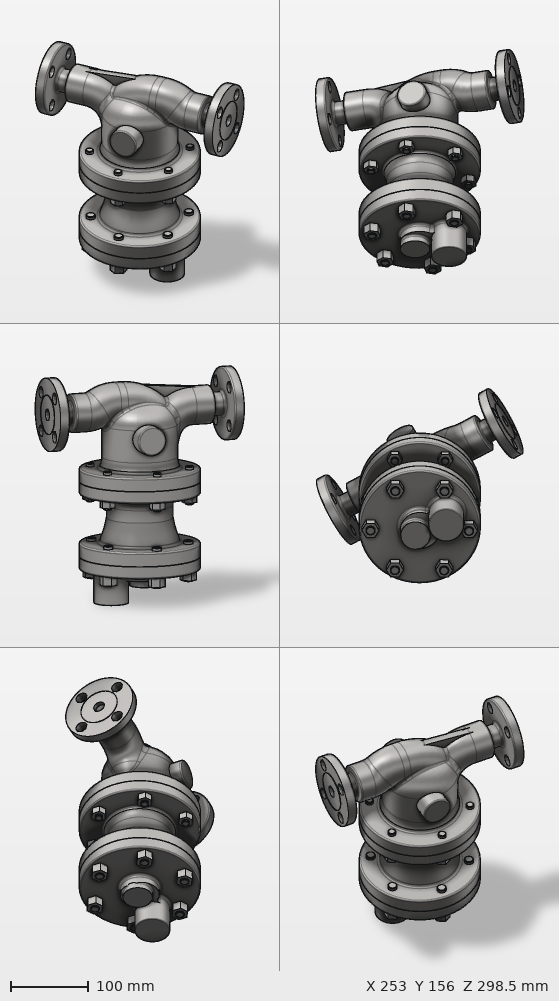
import cadquery as cq
import math

HALF_LENGTH = 126.5
PIPE_Z = 251.0
PIPE_RADIUS = 50.0 / 2
PIPE_START = 95.2
PIPE_ROUND = 1.8

FLANGE_RADIUS = 95.0 / 2
FLANGE_THICKNESS = 13.5
FLANGE_ROUND = 1.8
FACE_RADIUS = 51.0 / 2
FACE_HEIGHT = 0.5
NECK_RADIUS = 30.0 / 2
NECK_FLANGE_FILLET = 3.5
NECK_PIPE_FILLET = 1.8
BOLT_HOLE_DIAMETER = 15.0
BOLT_HOLE_OFFSET = 25.0
BORE_DIAMETER = 15.0
BORE_DEPTH = 6.0

ELBOW_START_X = -69.3
ELBOW_BEND = 41.2
ELBOW_ANGLE = math.radians(75)
ELBOW_TAIL = 25.5
ELBOW_BLEND = 10.5

OUTLET_BEND_X = 75.0
CREST_END_X = 34.0
CREST_START_X = 24.5
CREST_RISE = 11.5
LOWER_BEND = 35.2
CREST_BEND = 58.8
CREST_ANGLE = math.radians(50)
GOOSENECK_BLEND = 4.8

HEAD_RADIUS = 98.0 / 2
HEAD_BOTTOM = 189.0
DOME_BASE = 231.0
DOME_RISE = 35.0

BODY_FLANGE_RADIUS = 156.0 / 2
BODY_ROUND = 2.0
UPPER_FLANGE_TOP = 174.0
UPPER_JOINT = 156.7
UPPER_FLANGE_BOTTOM = 140.5
LOWER_FLANGE_TOP = 76.7
LOWER_JOINT = 58.5
LOWER_FLANGE_BOTTOM = 42.0
JOINT_GAP = 0.5
JOINT_FACE_RADIUS = 112.2 / 2
SKIRT_RADIUS = 51.3
COLLAR_RADIUS = 92.2 / 2
WAIST_RADIUS = 86.0 / 2
WAIST_TOP = 125.5
WAIST_BOTTOM = 109.3
ROOT_FILLET = 3.5
FLARE_HOLLOW = 1.0

STUD_COUNT = 6
NUT_SIDES = 6
FIRST_STUD_ANGLE = 30
STUD_CHAMFER = 1.0
STUD_RISE = 4.2
UPPER_STUD_RADIUS = 10.0 / 2
UPPER_STUD_CIRCLE = 64.8
UPPER_STUD_BOTTOM = 128.0
UPPER_NUT_FLATS = 17.0
UPPER_NUT_HEIGHT = 9.5
LOWER_STUD_RADIUS = 12.0 / 2
LOWER_STUD_CIRCLE = 63.3
LOWER_STUD_BOTTOM = 27.8
LOWER_NUT_FLATS = 19.0
LOWER_NUT_HEIGHT = 12.5

BOSS_RADIUS = 38.0 / 2
BOSS_X = 6.3
BOSS_Z = 219.5
BOSS_REACH = 64.0
BOSS_ROUND = 1.8

RIB_WIDTH = 9.5
RIB_SLOPE = math.radians(5.4)
RIB_START_X = -77.5
RIB_END_X = 0.0

PAD_RADIUS = 50.0 / 2
PAD_BOTTOM = 29.5
PAD_FILLET = 4.2
CREASE_FILLET = 4.8
DRAIN_RADIUS = 45.0 / 2
DRAIN_X = 39.0
DRAIN_ROUND = 1.0
PLUG_RADIUS = 38.0 / 2
PLUG_X = -6.3
PLUG_BOTTOM = 20.0
PLUG_FILLET = 2.5

EDGE_MARGIN = 0.3

ARC_INSET = 1 - math.sqrt(0.5)


def disc(radius, z_low, z_high, x=0.0, y=0.0):
    return cq.Workplane("XY", origin=(x, y, z_low)).circle(radius).extrude(z_high - z_low)


def on_circle(center, radius, angle):
    """Point on a circle; the angle runs clockwise from straight up."""
    return (center[0] + radius * math.sin(angle), center[1] + radius * math.cos(angle))


def hollow(start, end):
    """Middle point of a flare that bows in towards the axis."""
    return ((start[0] + end[0]) / 2 - FLARE_HOLLOW, (start[1] + end[1]) / 2)


def inlet_elbow():
    center = (ELBOW_START_X, PIPE_Z - ELBOW_BEND)
    bend_end = on_circle(center, ELBOW_BEND, ELBOW_ANGLE)
    tail_end = (
        bend_end[0] + ELBOW_TAIL * math.cos(ELBOW_ANGLE),
        bend_end[1] - ELBOW_TAIL * math.sin(ELBOW_ANGLE),
    )
    path = (
        cq.Workplane("XZ")
        .moveTo(-PIPE_START, PIPE_Z)
        .lineTo(ELBOW_START_X, PIPE_Z)
        .threePointArc(on_circle(center, ELBOW_BEND, ELBOW_ANGLE / 2), bend_end)
        .lineTo(*tail_end)
    )
    start = cq.Workplane("YZ", origin=(-PIPE_START, 0, PIPE_Z))
    return start.circle(PIPE_RADIUS).sweep(path)


def outlet_gooseneck():
    crest_z = PIPE_Z + CREST_RISE
    run = OUTLET_BEND_X - CREST_END_X
    swing = 2 * math.atan(CREST_RISE / run)
    upper_bend = run / math.sin(swing) - LOWER_BEND
    lower_center = (OUTLET_BEND_X, PIPE_Z + LOWER_BEND)
    upper_center = (CREST_END_X, crest_z - upper_bend)
    crest_center = (CREST_START_X, crest_z - CREST_BEND)
    path = (
        cq.Workplane("XZ")
        .moveTo(PIPE_START, PIPE_Z)
        .lineTo(OUTLET_BEND_X, PIPE_Z)
        .threePointArc(
            on_circle(lower_center, LOWER_BEND, math.pi + swing / 2),
            on_circle(lower_center, LOWER_BEND, math.pi + swing),
        )
        .threePointArc(on_circle(upper_center, upper_bend, swing / 2), (CREST_END_X, crest_z))
        .lineTo(CREST_START_X, crest_z)
        .threePointArc(
            on_circle(crest_center, CREST_BEND, -CREST_ANGLE / 2),
            on_circle(crest_center, CREST_BEND, -CREST_ANGLE),
        )
    )
    start = cq.Workplane("YZ", origin=(PIPE_START, 0, PIPE_Z))
    return start.circle(PIPE_RADIUS).sweep(path)


def junction_edges(head, x_low, x_high):
    """Curved edges where the pipes run into the head."""
    corner = (x_low, -HEAD_RADIUS, HEAD_BOTTOM)
    opposite = (x_high, HEAD_RADIUS, PIPE_Z + PIPE_RADIUS)
    return head.edges(cq.selectors.BoxSelector(corner, opposite)).edges("%BSPLINE or %ELLIPSE")


def domed_head():
    profile = (
        cq.Workplane("XZ")
        .moveTo(0, UPPER_FLANGE_TOP)
        .lineTo(WAIST_RADIUS, UPPER_FLANGE_TOP)
        .lineTo(HEAD_RADIUS, HEAD_BOTTOM)
        .lineTo(HEAD_RADIUS, DOME_BASE)
        .ellipseArc(HEAD_RADIUS, DOME_RISE, 0, 90, 0, sense=1, startAtCurrent=True)
        .close()
    )
    head = profile.revolve(360, (0, 0, 0), (0, 1, 0)).union(inlet_elbow())
    head = junction_edges(head, ELBOW_START_X, 0).fillet(ELBOW_BLEND)
    head = head.union(outlet_gooseneck())
    crotch_x = CREST_START_X - CREST_BEND
    head = junction_edges(head, crotch_x, HEAD_RADIUS).fillet(GOOSENECK_BLEND)
    return head.faces("<X or >X").edges().fillet(PIPE_ROUND)


def rib():
    def top(x):
        return PIPE_Z + PIPE_RADIUS + (x - ELBOW_START_X) * math.tan(RIB_SLOPE)

    return (
        cq.Workplane("XZ")
        .moveTo(RIB_START_X, top(RIB_START_X))
        .lineTo(RIB_END_X, top(RIB_END_X))
        .lineTo(RIB_END_X, PIPE_Z)
        .lineTo(RIB_START_X, PIPE_Z)
        .close()
        .extrude(RIB_WIDTH / 2, both=True)
    )


def side_bosses():
    bosses = (
        cq.Workplane("XZ", origin=(BOSS_X, 0, BOSS_Z))
        .circle(BOSS_RADIUS)
        .extrude(BOSS_REACH, both=True)
    )
    return bosses.faces("<Y or >Y").edges().fillet(BOSS_ROUND)


def body_flange(z_low, z_high, joint_z):
    flange = disc(BODY_FLANGE_RADIUS, z_low, z_high).edges().fillet(BODY_ROUND)
    gap_low = joint_z - JOINT_GAP / 2
    gap_high = joint_z + JOINT_GAP / 2
    gap = disc(BODY_FLANGE_RADIUS, gap_low, gap_high).cut(disc(JOINT_FACE_RADIUS, gap_low, gap_high))
    return flange.cut(gap)


def root_fillet(radius, face_z, direction, fillet=ROOT_FILLET):
    """Ring that rounds a neck into a flat face; direction is +1 above it and -1 below."""
    neck_z = face_z + direction * fillet
    inset = fillet * ARC_INSET
    profile = (
        cq.Workplane("XZ")
        .moveTo(0, face_z)
        .lineTo(radius + fillet, face_z)
        .threePointArc((radius + inset, face_z + direction * inset), (radius, neck_z))
        .lineTo(0, neck_z)
        .close()
    )
    return profile.revolve(360, (0, 0, 0), (0, 1, 0))


def flare(wide, narrow):
    """Hollow-sided flare between two (radius, z) rings."""
    profile = (
        cq.Workplane("XZ")
        .moveTo(0, wide[1])
        .lineTo(*wide)
        .threePointArc(hollow(wide, narrow), narrow)
        .lineTo(0, narrow[1])
        .close()
    )
    return profile.revolve(360, (0, 0, 0), (0, 1, 0))


def turned_body():
    body = body_flange(UPPER_FLANGE_BOTTOM, UPPER_FLANGE_TOP, UPPER_JOINT)
    body = body.union(body_flange(LOWER_FLANGE_BOTTOM, LOWER_FLANGE_TOP, LOWER_JOINT))
    body = body.union(disc(WAIST_RADIUS, WAIST_BOTTOM, WAIST_TOP))
    necks = (
        (SKIRT_RADIUS, UPPER_FLANGE_TOP, 1, (HEAD_RADIUS, HEAD_BOTTOM)),
        (COLLAR_RADIUS, UPPER_FLANGE_BOTTOM, -1, (WAIST_RADIUS, WAIST_TOP)),
        (SKIRT_RADIUS, LOWER_FLANGE_TOP, 1, (WAIST_RADIUS, WAIST_BOTTOM)),
    )
    for radius, flange_z, direction, narrow in necks:
        wide = (radius, flange_z + direction * ROOT_FILLET)
        body = body.union(root_fillet(radius, flange_z, direction)).union(flare(wide, narrow))
    return body


def add_studs(part, radius, circle, z_low, z_high, nut_top, nut_flats, nut_height):
    nut_corners = nut_flats / math.cos(math.pi / NUT_SIDES)
    for index in range(STUD_COUNT):
        angle = math.radians(FIRST_STUD_ANGLE + index * 360 / STUD_COUNT)
        x = circle * math.cos(angle)
        y = circle * math.sin(angle)
        stud = disc(radius, z_low, z_high, x, y).edges().chamfer(STUD_CHAMFER)
        nut = (
            cq.Workplane("XY", origin=(x, y, nut_top))
            .transformed(rotate=(0, 0, 90))
            .polygon(NUT_SIDES, nut_corners)
            .extrude(-nut_height)
        )
        part = part.union(stud).union(nut)
    return part


def bottom_connections(part):
    drain = disc(DRAIN_RADIUS, 0, LOWER_FLANGE_BOTTOM, DRAIN_X).faces("<Z").edges().fillet(DRAIN_ROUND)
    pad = disc(PAD_RADIUS, PAD_BOTTOM, LOWER_FLANGE_BOTTOM)
    part = part.union(pad).union(drain)
    reach = DRAIN_X + DRAIN_RADIUS + EDGE_MARGIN
    creases = cq.selectors.BoxSelector(
        (0, -PAD_RADIUS, PAD_BOTTOM), (PAD_RADIUS, PAD_RADIUS, LOWER_FLANGE_BOTTOM)
    )
    roots = cq.selectors.BoxSelector(
        (-reach, -reach, LOWER_FLANGE_BOTTOM - EDGE_MARGIN),
        (reach, reach, LOWER_FLANGE_BOTTOM + EDGE_MARGIN),
        boundingbox=True,
    )
    part = part.edges(creases).edges("|Z").fillet(CREASE_FILLET)
    part = part.edges(roots).fillet(PAD_FILLET)
    return part.union(plug())


def plug():
    barrel = disc(PLUG_RADIUS, PLUG_BOTTOM, PAD_BOTTOM, PLUG_X)
    root = root_fillet(PLUG_RADIUS, PAD_BOTTOM, -1, PLUG_FILLET).translate((PLUG_X, 0, 0))
    return barrel.union(root.intersect(disc(PAD_RADIUS, PLUG_BOTTOM, PAD_BOTTOM)))


def outlet_flange():
    """Flange and neck at the outlet end, turned about the pipe axis and drilled."""
    back_x = HALF_LENGTH - FLANGE_THICKNESS
    rim_x = HALF_LENGTH - FACE_HEIGHT
    neck_low = PIPE_START + NECK_PIPE_FILLET
    neck_high = back_x - NECK_FLANGE_FILLET
    pipe_inset = NECK_PIPE_FILLET * ARC_INSET
    flange_inset = NECK_FLANGE_FILLET * ARC_INSET
    rim_inset = FLANGE_ROUND * ARC_INSET
    profile = (
        cq.Workplane("XZ", origin=(0, 0, PIPE_Z))
        .moveTo(PIPE_START, 0)
        .lineTo(PIPE_START, NECK_RADIUS + NECK_PIPE_FILLET)
        .threePointArc((PIPE_START + pipe_inset, NECK_RADIUS + pipe_inset), (neck_low, NECK_RADIUS))
        .lineTo(neck_high, NECK_RADIUS)
        .threePointArc(
            (back_x - flange_inset, NECK_RADIUS + flange_inset),
            (back_x, NECK_RADIUS + NECK_FLANGE_FILLET),
        )
        .lineTo(back_x, FLANGE_RADIUS - FLANGE_ROUND)
        .threePointArc(
            (back_x + rim_inset, FLANGE_RADIUS - rim_inset),
            (back_x + FLANGE_ROUND, FLANGE_RADIUS),
        )
        .lineTo(rim_x, FLANGE_RADIUS)
        .lineTo(rim_x, FACE_RADIUS)
        .lineTo(HALF_LENGTH, FACE_RADIUS)
        .lineTo(HALF_LENGTH, 0)
        .close()
    )
    flange = profile.revolve(360, (0, 0, 0), (1, 0, 0))
    drilling = cq.Workplane("YZ", origin=(HALF_LENGTH, 0, PIPE_Z))
    bolt_holes = (
        drilling.rect(2 * BOLT_HOLE_OFFSET, 2 * BOLT_HOLE_OFFSET, forConstruction=True)
        .vertices()
        .circle(BOLT_HOLE_DIAMETER / 2)
        .extrude(-FLANGE_THICKNESS)
    )
    bore = drilling.circle(BORE_DIAMETER / 2).extrude(-BORE_DEPTH)
    return flange.cut(bolt_holes).cut(bore)


outlet_end = outlet_flange()
inlet_end = outlet_end.mirror("YZ")

result = bottom_connections(turned_body())
result = result.union(domed_head()).union(rib()).union(side_bosses())
result = result.union(outlet_end).union(inlet_end)
result = add_studs(
    result,
    UPPER_STUD_RADIUS,
    UPPER_STUD_CIRCLE,
    UPPER_STUD_BOTTOM,
    UPPER_FLANGE_TOP + STUD_RISE,
    UPPER_FLANGE_BOTTOM,
    UPPER_NUT_FLATS,
    UPPER_NUT_HEIGHT,
)
result = add_studs(
    result,
    LOWER_STUD_RADIUS,
    LOWER_STUD_CIRCLE,
    LOWER_STUD_BOTTOM,
    LOWER_FLANGE_TOP + STUD_RISE,
    LOWER_FLANGE_BOTTOM,
    LOWER_NUT_FLATS,
    LOWER_NUT_HEIGHT,
)